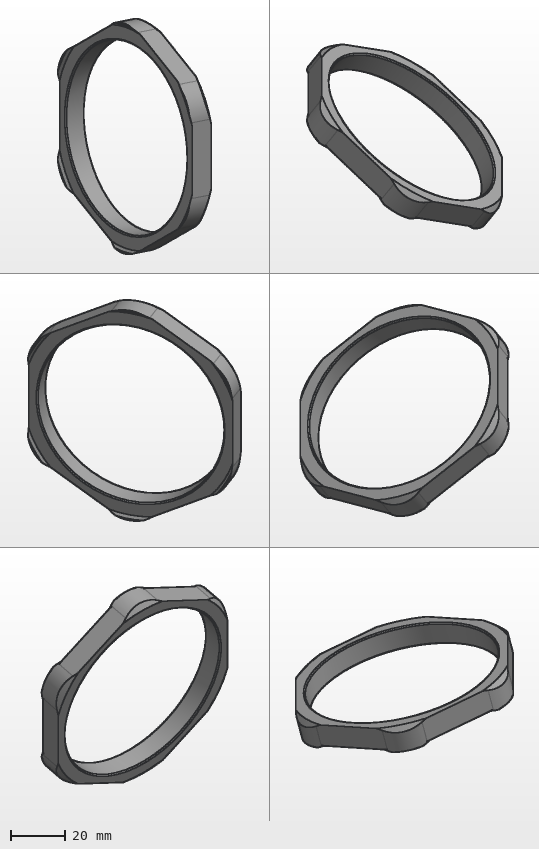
import cadquery as cq
import math

across_flats = 80.0
across_corners = 87.7
width = 10.0
bore_diameter = 73.0
bore_chamfer = 0.5
foot_height = 1.05
foot_base_radius = 42.1
foot_tip_radius = 43.2
back_chamfer = 2.0

front_y = -width / 2
back_y = width / 2
face_y = front_y + foot_height
outer_radius = across_corners / 2
bore_radius = bore_diameter / 2
sharp_corner_radius = across_flats / 2 / math.cos(math.pi / 6)
corner_radius = (sharp_corner_radius - outer_radius) / (1 / math.cos(math.pi / 6) - 1)


def turned(profile):
    """Revolve a closed (radius, y) profile about the Y axis."""
    return cq.Workplane("XY").polyline(profile).close().revolve(360, (0, 0, 0), (0, 1, 0))


def hexagon_with_round_corners():
    """Hexagonal prism with two corners on the Z axis."""
    return (
        cq.Workplane("XZ", origin=(0, back_y, 0))
        .transformed(rotate=(0, 0, 90))
        .polygon(6, 2 * sharp_corner_radius)
        .extrude(width)
        .edges("|Y")
        .fillet(corner_radius)
    )


ring_envelope = turned([
    (bore_radius + bore_chamfer, back_y),
    (bore_radius, back_y - bore_chamfer),
    (bore_radius, face_y + bore_chamfer),
    (bore_radius + bore_chamfer, face_y),
    (foot_base_radius, face_y),
    (foot_tip_radius, front_y),
    (outer_radius, front_y),
    (outer_radius, back_y - back_chamfer),
    (outer_radius - back_chamfer, back_y),
])

result = hexagon_with_round_corners().intersect(ring_envelope)